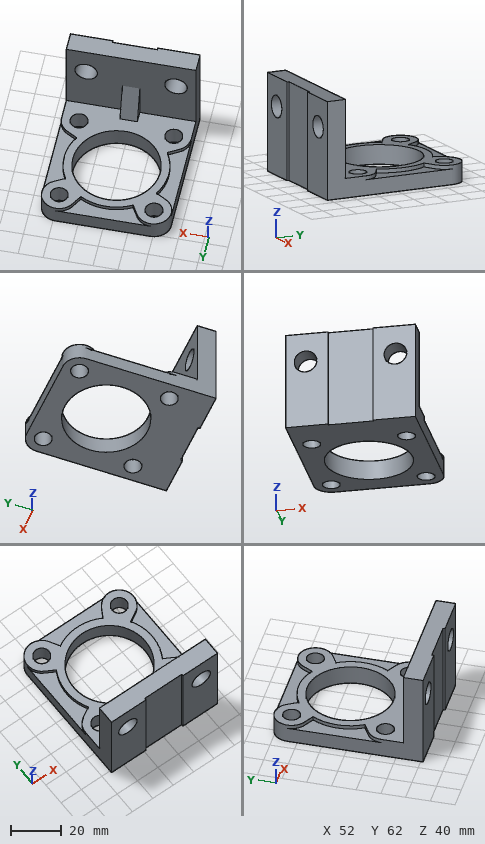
import cadquery as cq
import math

width = 52.0
depth = 62.0
height = 40.0
plate_thickness = 8.0
wall_thickness = 8.0

bore_diameter = 35.0
ring_diameter = 42.0
bolt_pitch = 38.0
bolt_diameter = 7.0
recess_depth = 1.6

wall_hole_diameter = 9.0
wall_hole_pitch = 36.0
wall_hole_height = 28.0
groove_width = 18.0
groove_depth = 0.8

rib_width = 7.0
rib_length = 4.8
rib_height = 14.8

back_y = width / 2
front_y = back_y - depth
wall_inner_y = front_y + wall_thickness
bolt_offset = bolt_pitch / 2
ear_radius = width / 2 - bolt_offset
side_turns = (-90, 0, 90)


def polar(radius, angle, center=(0.0, 0.0)):
    """Point at a radius and an angle (radians) around a center."""
    return (center[0] + radius * math.cos(angle), center[1] + radius * math.sin(angle))


def mirror_x(point):
    return (-point[0], point[1])


def make_bracket():
    """L-shaped body with the back corners rounded about the bolt holes."""
    plate = (
        cq.Workplane("XY")
        .box(width, depth, plate_thickness, centered=(True, False, False))
        .translate((0, front_y, 0))
        .edges("|Z and >Y")
        .fillet(ear_radius)
    )
    wall = (
        cq.Workplane("XY")
        .box(width, wall_thickness, height, centered=(True, False, False))
        .translate((0, front_y, 0))
    )
    return plate.union(wall)


def make_rib():
    """Triangular rib in the inner corner between plate and wall."""
    return (
        cq.Workplane("YZ")
        .workplane(offset=-rib_width / 2)
        .moveTo(wall_inner_y, plate_thickness)
        .lineTo(wall_inner_y + rib_length, plate_thickness)
        .lineTo(wall_inner_y, plate_thickness + rib_height)
        .close()
        .extrude(rib_width)
    )


def make_back_recess():
    """Shallow recess between two ears, whose flanks run from the bore axis tangent to the ears."""
    ear_center = (bolt_offset, bolt_offset)
    ear_distance = math.hypot(*ear_center)
    flank_angle = math.radians(45) + math.asin(ear_radius / ear_distance)
    tangent_length = math.sqrt(ear_distance**2 - ear_radius**2)
    tangent_angle = flank_angle + math.radians(90)
    arc_middle_angle = (tangent_angle + math.radians(90)) / 2

    ring_point = polar(ring_diameter / 2, flank_angle)
    tangent_point = polar(tangent_length, flank_angle)
    arc_middle = polar(ear_radius, arc_middle_angle, ear_center)
    edge_point = (bolt_offset, back_y)

    return (
        cq.Workplane("XY")
        .workplane(offset=plate_thickness - recess_depth)
        .moveTo(*ring_point)
        .lineTo(*tangent_point)
        .threePointArc(arc_middle, edge_point)
        .lineTo(*mirror_x(edge_point))
        .threePointArc(mirror_x(arc_middle), mirror_x(tangent_point))
        .lineTo(*mirror_x(ring_point))
        .threePointArc((0, ring_diameter / 2), ring_point)
        .close()
        .extrude(recess_depth)
    )


def make_plate_holes():
    """Central bore and four bolt holes through the plate."""
    bore = cq.Workplane("XY").circle(bore_diameter / 2).extrude(plate_thickness)
    bolts = (
        cq.Workplane("XY")
        .rect(bolt_pitch, bolt_pitch, forConstruction=True)
        .vertices()
        .circle(bolt_diameter / 2)
        .extrude(plate_thickness)
    )
    return bore.union(bolts)


def make_wall_holes():
    """Two holes through the wall along Y."""
    return (
        cq.Workplane("XZ", origin=(0, wall_inner_y, wall_hole_height))
        .pushPoints([(-wall_hole_pitch / 2, 0), (wall_hole_pitch / 2, 0)])
        .circle(wall_hole_diameter / 2)
        .extrude(wall_thickness)
    )


def make_groove():
    """Shallow full-height groove down the middle of the wall's front face."""
    return (
        cq.Workplane("XY")
        .box(groove_width, groove_depth, height, centered=(True, False, False))
        .translate((0, front_y, 0))
    )


result = make_bracket().union(make_rib())
recess = make_back_recess()
for turn in side_turns:
    result = result.cut(recess.rotate((0, 0, 0), (0, 0, 1), turn))
result = result.cut(make_plate_holes()).cut(make_wall_holes()).cut(make_groove())